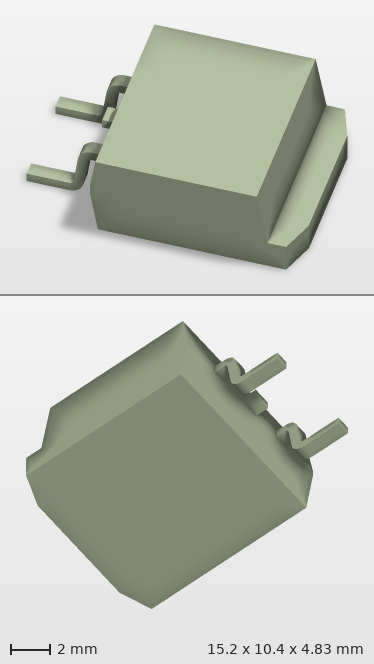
import cadquery as cq
import math

overall_length = 15.24
package_width = 10.41
package_height = 4.83

lead_thickness = 0.53
lead_width = 0.78
lead_spacing = 5.07
lead_exit_top = 3.06
lead_exit_bottom = lead_exit_top - lead_thickness
foot_bend_x = 2.47
shoulder_bend_x = 2.83
bend_inner_radius = 0.25
bend_outer_radius = bend_inner_radius + lead_thickness

stub_length = 0.76
stub_width = 1.0

housing_lead_face_x = 4.07
housing_top_start_x = 4.36
housing_bottom_start_x = 4.5
housing_top_end_x = 13.0

tab_start_x = 13.58
tab_taper_start_x = 14.57
tab_height = 1.65
tab_corner_inset = 1.81


def extrude_across(points, width, center_y=0.0):
    """Extrude an XZ outline symmetrically about the plane Y = center_y."""
    plane = cq.Workplane("XZ", origin=(0, center_y, 0))
    return plane.polyline(points).close().extrude(width / 2, both=True)


def make_housing():
    """Moulded housing with sloped end faces and an upright band at the leads."""
    outline = [
        (housing_bottom_start_x, 0),
        (tab_start_x, 0),
        (tab_start_x, tab_height),
        (housing_top_end_x, package_height),
        (housing_top_start_x, package_height),
        (housing_lead_face_x, lead_exit_top),
        (housing_lead_face_x, lead_exit_bottom),
    ]
    return extrude_across(outline, package_width)


def make_tab():
    """Plate butting against the housing, with both free corners cut off."""
    half_width = package_width / 2
    half_end = half_width - tab_corner_inset
    outline = [
        (tab_start_x, -half_width),
        (tab_taper_start_x, -half_width),
        (overall_length, -half_end),
        (overall_length, half_end),
        (tab_taper_start_x, half_width),
        (tab_start_x, half_width),
    ]
    return cq.Workplane("XY").polyline(outline).close().extrude(tab_height)


def make_lead(center_y):
    """Gull-wing lead of constant thickness with concentric bend radii."""
    riser_angle = math.atan2(lead_exit_top - lead_thickness, shoulder_bend_x - foot_bend_x)
    corner_shift = lead_thickness * math.tan(riser_angle / 2)
    foot_inner = (foot_bend_x, lead_thickness)
    foot_outer = (foot_bend_x + corner_shift, 0)
    shoulder_outer = (shoulder_bend_x, lead_exit_top)
    shoulder_inner = (shoulder_bend_x + corner_shift, lead_exit_bottom)
    outline = [
        (0, 0),
        foot_outer,
        shoulder_inner,
        (housing_lead_face_x, lead_exit_bottom),
        (housing_lead_face_x, lead_exit_top),
        shoulder_outer,
        foot_inner,
        (0, lead_thickness),
    ]
    lead = extrude_across(outline, lead_width, center_y)
    bends = [
        (foot_inner, bend_inner_radius),
        (foot_outer, bend_outer_radius),
        (shoulder_inner, bend_inner_radius),
        (shoulder_outer, bend_outer_radius),
    ]
    for (corner_x, corner_z), radius in bends:
        corner_edge = cq.selectors.NearestToPointSelector((corner_x, center_y, corner_z))
        lead = lead.edges("|Y").edges(corner_edge).fillet(radius)
    return lead


def make_center_stub():
    """Short rectangular remainder of the centre lead."""
    stub_start_x = housing_lead_face_x - stub_length
    outline = [
        (stub_start_x, lead_exit_bottom),
        (housing_lead_face_x, lead_exit_bottom),
        (housing_lead_face_x, lead_exit_top),
        (stub_start_x, lead_exit_top),
    ]
    return extrude_across(outline, stub_width)


housing = make_housing()
tab = make_tab()
center_stub = make_center_stub()
leads = []
for side in (-1, 1):
    leads.append(make_lead(side * lead_spacing / 2))

result = cq.Compound.makeCompound(
    [housing.val(), tab.val(), center_stub.val(), *[lead.val() for lead in leads]]
)